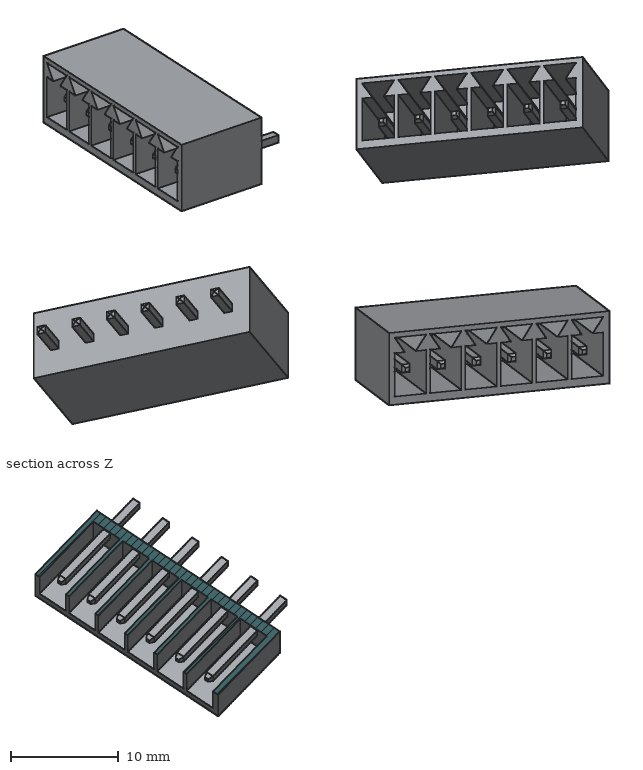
import cadquery as cq

pole_count = 6
pitch = 3.5
housing_length = 21.8
housing_depth = 9.2
housing_height = 7.0

pocket_width = 3.1
pocket_depth = 8.0
pocket_floor_z = 0.8
pocket_shoulder_z = 5.0
keyway_top_z = 6.5
keyway_neck_width = 1.1
pocket_offset_x = -0.05

pin_width = 0.8
pin_axis_z = 3.0
pin_front_y = 0.97
pin_back_projection = 3.4
front_taper_length = 0.45
front_tip_width = 0.4
back_taper_length = 0.18
back_tip_width = 0.02

pole_positions = [(i - (pole_count - 1) / 2) * pitch for i in range(pole_count)]


def make_housing():
    return cq.Workplane("XY").box(
        housing_length, housing_depth, housing_height, centered=(True, False, False)
    )


def make_pocket(x):
    """Pocket with a keyway that widens from its neck to its top."""
    half_width = pocket_width / 2
    half_neck = keyway_neck_width / 2
    outline = [
        (x - half_width, pocket_floor_z),
        (x + half_width, pocket_floor_z),
        (x + half_width, pocket_shoulder_z),
        (x + half_neck, pocket_shoulder_z),
        (x + half_width, keyway_top_z),
        (x - half_width, keyway_top_z),
        (x - half_neck, pocket_shoulder_z),
        (x - half_width, pocket_shoulder_z),
    ]
    return cq.Workplane("XZ").polyline(outline).close().extrude(-pocket_depth)


def make_taper(x, base_y, tip_y, tip_width):
    """Pyramid stump from the full pin section to a smaller square tip."""
    return (
        cq.Workplane("XZ", origin=(x, base_y, pin_axis_z))
        .rect(pin_width, pin_width)
        .workplane(offset=base_y - tip_y)
        .rect(tip_width, tip_width)
        .loft()
    )


def make_pin(x):
    pin_back_y = housing_depth + pin_back_projection
    shank_front_y = pin_front_y + front_taper_length
    shank_back_y = pin_back_y - back_taper_length
    shank = (
        cq.Workplane("XZ", origin=(x, shank_front_y, pin_axis_z))
        .rect(pin_width, pin_width)
        .extrude(shank_front_y - shank_back_y)
    )
    front_taper = make_taper(x, shank_front_y, pin_front_y, front_tip_width)
    back_taper = make_taper(x, shank_back_y, pin_back_y, back_tip_width)
    return shank.union(front_taper).union(back_taper)


result = make_housing()
for pole_x in pole_positions:
    result = result.cut(make_pocket(pole_x + pocket_offset_x))
for pole_x in pole_positions:
    result = result.union(make_pin(pole_x))